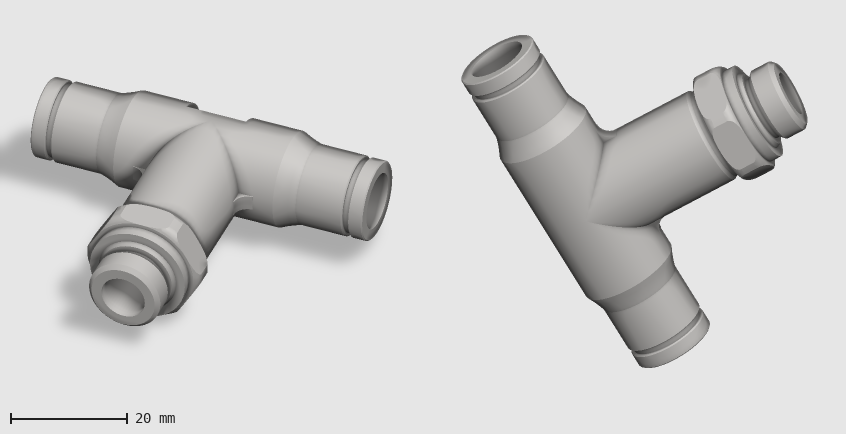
import cadquery as cq
import math


body_radius = 8.55
bore_radius = 4.0

run_half_length = 30.6
sleeve_radius = 7.15
collar_radius = 7.1
tube_radius = 5.0
shoulder_x = 14.7
sleeve_start_x = 18.4
shoulder_hollow = 0.1
groove_radius = 6.5
groove_inner_x = 26.9
groove_outer_x = 27.9
edge_break = 0.2

branch_chamfer_start = 24.8
branch_end = 25.4
neck_radius = 8.15
hex_start = 26.65
hex_end = 31.95
hex_across_flats = 19.0
hex_face_radius = 9.5
hex_rounding_height = 1.45
hex_corner_radius = 10.5
washer_end = 33.95
washer_radius = 8.75
step_radius = 7.15
step_end_radius = 6.7
step_end = 34.75
undercut_radius = 5.65
undercut_end = 35.4
undercut_blend = 0.2
thread_radius = 6.58
thread_start = undercut_end + thread_radius - undercut_radius
thread_chamfer = 0.75
branch_length = 40.5

web_radius = 2.5
web_thickness = 2.8

flat_length = 11.0
flat_distance = 7.4
flat_tilt = 45.0


def make_run():
    """Solid of revolution about X, with a collared sleeve at each end."""
    shoulder_dx = sleeve_start_x - shoulder_x
    shoulder_dr = body_radius - sleeve_radius
    slant = math.hypot(shoulder_dx, shoulder_dr)
    hollow_x = (shoulder_x + sleeve_start_x) / 2 - shoulder_hollow * shoulder_dr / slant
    hollow_r = (body_radius + sleeve_radius) / 2 - shoulder_hollow * shoulder_dx / slant
    half = (
        cq.Workplane("XY")
        .moveTo(0, 0)
        .lineTo(0, body_radius)
        .lineTo(shoulder_x, body_radius)
        .threePointArc((hollow_x, hollow_r), (sleeve_start_x, sleeve_radius))
        .lineTo(groove_inner_x - edge_break, sleeve_radius)
        .lineTo(groove_inner_x, sleeve_radius - edge_break)
        .lineTo(groove_inner_x, groove_radius)
        .lineTo(groove_outer_x, groove_radius)
        .lineTo(groove_outer_x, collar_radius - edge_break)
        .lineTo(groove_outer_x + edge_break, collar_radius)
        .lineTo(run_half_length - edge_break, collar_radius)
        .lineTo(run_half_length, collar_radius - edge_break)
        .lineTo(run_half_length, 0)
        .close()
        .revolve(360, (0, 0, 0), (1, 0, 0))
    )
    return half.union(half.mirror("YZ"))


def make_branch():
    """Solid of revolution about Y: tee leg, neck, washer and threaded spigot."""
    blend_offset = undercut_blend * math.sin(math.radians(45))
    return (
        cq.Workplane("XY")
        .moveTo(0, 0)
        .lineTo(body_radius, 0)
        .lineTo(body_radius, -branch_chamfer_start)
        .lineTo(neck_radius, -branch_end)
        .lineTo(neck_radius, -hex_end)
        .lineTo(washer_radius, -hex_end)
        .lineTo(washer_radius, -washer_end)
        .lineTo(step_radius, -washer_end)
        .lineTo(step_end_radius, -step_end)
        .lineTo(undercut_radius, -step_end)
        .lineTo(undercut_radius, -(undercut_end - undercut_blend))
        .tangentArcPoint((blend_offset, -(undercut_blend + blend_offset)))
        .lineTo(thread_radius, -thread_start)
        .lineTo(thread_radius, -(branch_length - thread_chamfer))
        .lineTo(thread_radius - thread_chamfer, -branch_length)
        .lineTo(0, -branch_length)
        .close()
        .revolve(360, (0, 0, 0), (0, 1, 0))
    )


def branch_cylinder(radius, start, end):
    """Cylinder on the branch axis between two distances from the run axis."""
    return cq.Workplane("XZ").workplane(offset=start).circle(radius).extrude(end - start)


def make_hex():
    """Hexagon with flats facing +Z and -Z and rounded, turned-down corners."""
    hex_height = hex_end - hex_start
    across_corners = hex_across_flats / math.cos(math.radians(30))
    prism = (
        cq.Workplane("XZ")
        .workplane(offset=hex_start)
        .polygon(6, across_corners)
        .extrude(hex_height)
    )
    rise = hex_corner_radius - hex_face_radius
    rounding_radius = (hex_rounding_height**2 + rise**2) / (2 * rise)
    blank = (
        cq.Workplane("XY")
        .moveTo(0, -hex_start)
        .lineTo(hex_face_radius, -hex_start)
        .radiusArc((hex_corner_radius, -(hex_start + hex_rounding_height)), rounding_radius)
        .lineTo(hex_corner_radius, -(hex_end - hex_rounding_height))
        .radiusArc((hex_face_radius, -hex_end), rounding_radius)
        .lineTo(0, -hex_end)
        .close()
        .revolve(360, (0, 0, 0), (0, 1, 0))
    )
    return prism.intersect(blank)


def make_web(side):
    """Concave web in the corner between the run and the branch; side is +1 or -1."""
    tangent = body_radius + web_radius
    arc_middle = tangent - web_radius * math.cos(math.radians(45))
    core = body_radius / 2
    return (
        cq.Workplane("XY")
        .workplane(offset=-web_thickness / 2)
        .moveTo(side * core, -core)
        .lineTo(side * tangent, -core)
        .lineTo(side * tangent, -body_radius)
        .threePointArc((side * arc_middle, -arc_middle), (side * body_radius, -tangent))
        .lineTo(side * core, -tangent)
        .close()
        .extrude(web_thickness)
    )


def make_flat_cutter():
    """Block that removes everything beyond the tilted flat."""
    depth = body_radius
    return (
        cq.Workplane("XY")
        .box(flat_length, 2 * body_radius, depth, centered=(True, True, False))
        .translate((0, 0, flat_distance))
        .rotate((0, 0, 0), (1, 0, 0), -flat_tilt)
    )


def run_cylinder(radius, start, end):
    """Cylinder on the run axis between two X positions."""
    return cq.Workplane("YZ").workplane(offset=start).circle(radius).extrude(end - start)


result = make_run().union(make_branch()).union(make_hex())
for side in (-1, 1):
    result = result.union(make_web(side))
result = result.cut(make_flat_cutter())

result = result.cut(run_cylinder(bore_radius, -run_half_length, run_half_length))
result = result.cut(branch_cylinder(bore_radius, 0, branch_length))
result = result.cut(run_cylinder(tube_radius, shoulder_x, run_half_length))
result = result.cut(run_cylinder(tube_radius, -run_half_length, -shoulder_x))